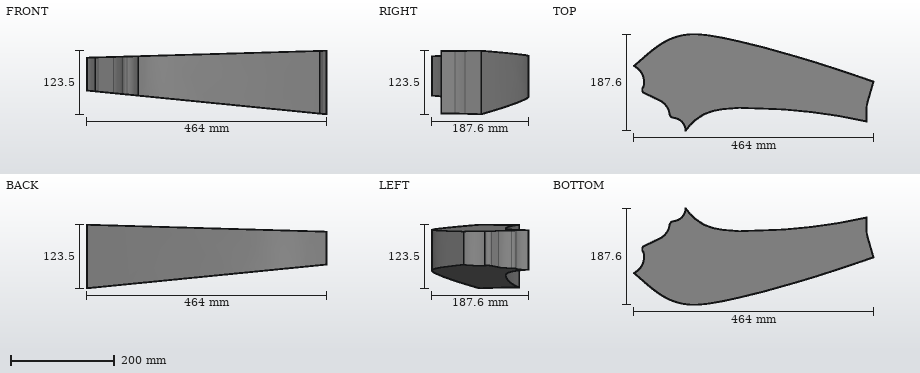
import cadquery as cq

length = 464.0
width = 187.5
height = 123.5

notched_end_bottom = 46.0
notched_end_top = 110.0

back_corner = (0, 125.7)
front_tip = (99.8, 0)
tall_end_front = (450.5, 18.0)
tall_end_back = (length, 95.5)

front_side = [(119.0, 21.0), (136.5, 32.5), (170.5, 41.8), (203.5, 44.5), (237.0, 44.0), (338.0, 37.0)]
back_side = [(355.0, 132.0), (254.5, 161.0), (203.5, 173.5), (142.0, 185.5), (112.0, width), (69.5, 177.5), (35.5, 156.5)]


def plan_prism():
    """Vertical prism with the curved plan outline."""
    outline = (
        cq.Workplane("XY")
        .moveTo(*back_corner)
        .threePointArc((16.5, 108.0), (18.0, 85.0))
        .threePointArc((16.5, 76.0), (21.0, 73.0))
        .lineTo(50.5, 58.5)
        .threePointArc((62.5, 48.3), (68.5, 33.5))
        .threePointArc((71.0, 28.5), (77.5, 25.0))
        .threePointArc((93.3, 17.0), front_tip)
        .spline(front_side + [tall_end_front], includeCurrent=True)
        .lineTo(450.5, 44.0)
        .threePointArc((452.0, 54.0), (454.5, 63.5))
        .lineTo(*tall_end_back)
        .spline(back_side + [back_corner], includeCurrent=True)
        .close()
    )
    return outline.extrude(height)


def side_wedge():
    """Tapered profile that sets the sloping top and bottom faces."""
    corners = [(0, notched_end_bottom), (length, 0), (length, height), (0, notched_end_top)]
    return cq.Workplane("XZ", origin=(0, -width, 0)).polyline(corners).close().extrude(-3 * width)


result = plan_prism().intersect(side_wedge())